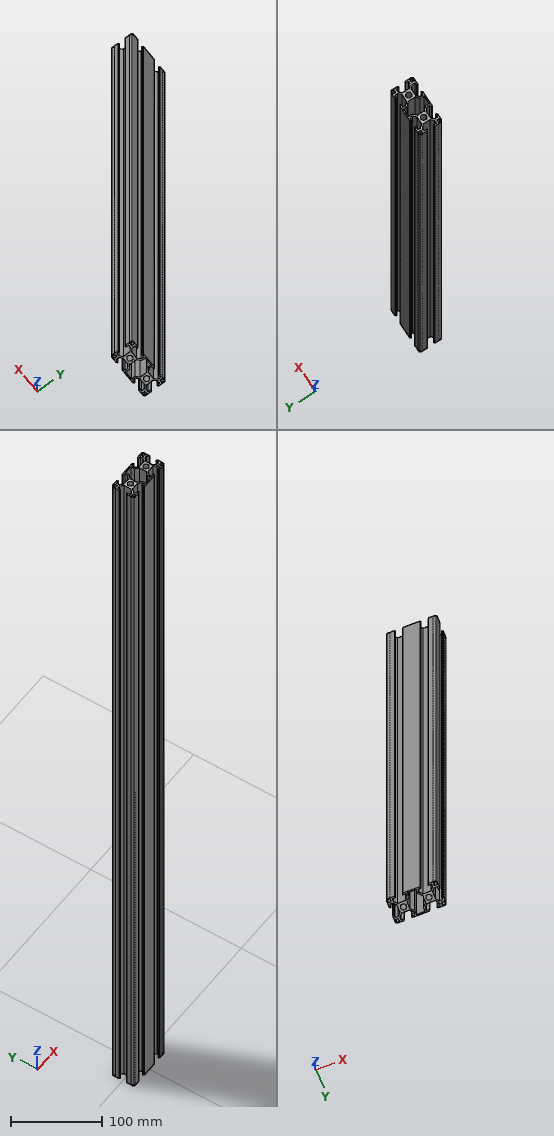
import cadquery as cq

MODULE = 30.0
WIDTH = 2 * MODULE
LENGTH = 1000.0
CORNER_RADIUS = 2.5
BORE_DIAMETER = 6.8

MOUTH_HALF = 5.0
MOUTH_DEPTH = 1.0
THROAT_HALF = 4.1
LIP_THICKNESS = 2.0
CHANNEL_HALF = 8.0
CHANNEL_DEPTH = 5.5
FLOOR_HALF = 4.5
SLOT_DEPTH = 9.0

HOLLOW_SIZE = 3.5
HOLLOW_INSET = 2.8

CAVITY_WALL = 1.9
CAVITY_ROOF = 1.6
NECK_HALF = MODULE / 2 - CHANNEL_HALF - CAVITY_WALL
NECK_END_Y = 8.5
CAVITY_HALF_WIDTH = 9.3
CAVITY_SIDE_HALF = 4.5

CORE_CENTERS = [(-MODULE / 2, 0), (MODULE / 2, 0)]


def prism(points):
    """Full-length prism on a closed outline."""
    return cq.Workplane("XY").polyline(points).close().extrude(LENGTH)


def slot_cutter(center_x, center_y, angle):
    """Stepped T-slot opening toward +Y, turned by angle and moved to a face centre."""
    right_side = [
        (MOUTH_HALF, 0),
        (MOUTH_HALF, -MOUTH_DEPTH),
        (THROAT_HALF, -MOUTH_DEPTH),
        (THROAT_HALF, -LIP_THICKNESS),
        (CHANNEL_HALF, -LIP_THICKNESS),
        (CHANNEL_HALF, -CHANNEL_DEPTH),
        (FLOOR_HALF, -SLOT_DEPTH),
    ]
    left_side = [(-x, y) for x, y in reversed(right_side)]
    cutter = prism(right_side + left_side)
    return cutter.rotate((0, 0, 0), (0, 0, 1), angle).translate((center_x, center_y, 0))


def cut_slots(body):
    """Two slots on each wide face and one on each narrow face."""
    for x, _ in CORE_CENTERS:
        body = body.cut(slot_cutter(x, MODULE / 2, 0))
        body = body.cut(slot_cutter(x, -MODULE / 2, 180))
    body = body.cut(slot_cutter(-WIDTH / 2, 0, 90))
    return body.cut(slot_cutter(WIDTH / 2, 0, -90))


def cavity_cutter():
    """Hollow between the cores: narrow under each outer wall, wide at mid height."""
    upper_right = [
        (NECK_HALF, MODULE / 2 - CAVITY_ROOF),
        (NECK_HALF, NECK_END_Y),
        (CAVITY_HALF_WIDTH, CAVITY_SIDE_HALF),
    ]
    right_side = upper_right + [(x, -y) for x, y in reversed(upper_right)]
    left_side = [(-x, -y) for x, y in right_side]
    return prism(right_side + left_side)


def corner_hollows():
    spacing_x = WIDTH - 2 * HOLLOW_INSET
    spacing_y = MODULE - 2 * HOLLOW_INSET
    centers = cq.Workplane("XY").rarray(spacing_x, spacing_y, 2, 2)
    return centers.rect(HOLLOW_SIZE, HOLLOW_SIZE).extrude(LENGTH)


def core_bores():
    return cq.Workplane("XY").pushPoints(CORE_CENTERS).circle(BORE_DIAMETER / 2).extrude(LENGTH)


def build_extrusion():
    body = cq.Workplane("XY").rect(WIDTH, MODULE).extrude(LENGTH)
    body = body.edges("|Z").fillet(CORNER_RADIUS)
    body = cut_slots(body)
    body = body.cut(cavity_cutter())
    body = body.cut(corner_hollows())
    return body.cut(core_bores())


result = build_extrusion()